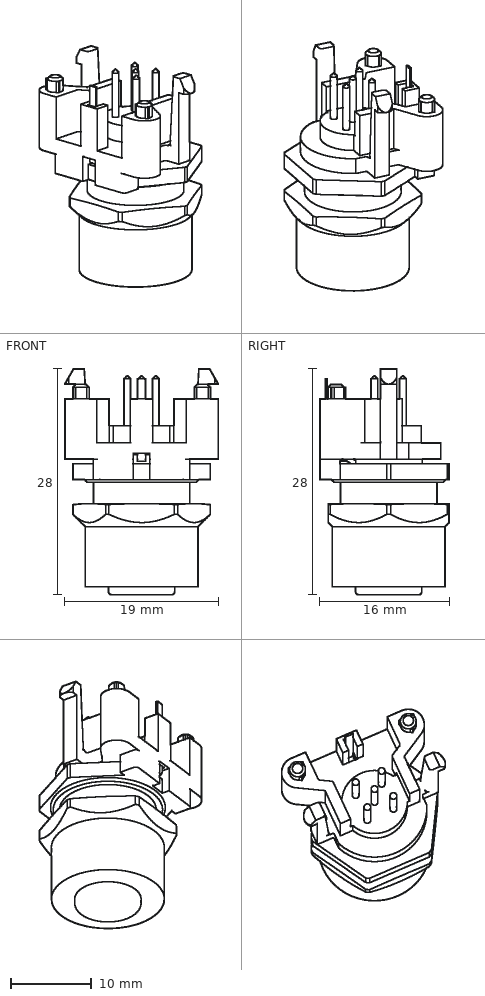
import cadquery as cq
import math

plug_top = 0.98
nut_bottom = 8.45
nut_top = 11.3
flange_underside = 13.95
flange_bottom = 14.28
flange_top = 16.27
housing_bottom = 16.8
floor_top = 18.82
boss_top = 20.97
wall_top = 24.28
total_height = 28.0

total_width = 19.0
total_depth = 16.0

plug_radius = 4.12
plug_edge_fillet = 0.42
sleeve_radius = 7.0
neck_radius = 6.0
seat_top_radius = 7.1
seat_bottom_radius = 6.78
hub_radius = 4.17

hex_across_flats = 14.98
hex_corner_radius = 8.5
nut_face_radius = 7.22
nut_face_bevel = 0.15

base_radius = 6.5
base_half_width = 6.0
boss_radius = 4.05
boss_fill_front = -2.1
wall_back = 1.68
front_face = hex_across_flats / 2 - total_depth
ear_radius = 2.0
ear_x = total_width / 2 - ear_radius
ear_y = front_face + ear_radius
wall_inner_x = 4.0
wall_outer_x = 5.38
wall_inner_bend_y = -3.67
pocket_half_width = 5.55
ear_slope = math.radians(30)
wall_bend_fillet = 0.28
boss_fill_fillet = 0.22
base_wall_fillet = 0.28
skirt_back = -6.02
skirt_half_width = 6.0
skirt_fillet = 0.5

pin_radius = 0.42
pin_pitch = 3.53
pin_shoulder = 26.75
pin_tip = 27.15

peg_radius = 0.98
peg_top = 26.07
peg_chamfer = 0.35
peg_rib_reach = 1.18
peg_rib_half_width = 0.25
peg_rib_angles = (93, 213, 333)

post_half_width = 1.37
post_back = -6.52
window_half_width = 1.05
window_top = 17.53
slot_half_width = 0.6
slot_front = -8.05
blade_half_width = 0.5
blade_front = -7.85
blade_thickness = 0.25
contact_leg_bottom = 16.55
contact_bend_radius = 0.48
contact_top = 26.75

tongue_front = -4.7
tongue_tip = -3.35
tongue_top_back = -4.37
tongue_front_top = 17.33

arm_half_width = 1.0
arm_outer_x = 8.2
arm_root_x = 6.4
arm_root_radius = 0.15
arm_inner_top_x = 7.08
arm_inner_fillet = 0.35
hook_top_x = 8.43
hook_tip_x = total_width / 2
hook_side_x = 9.05
hook_bottom = 26.1
arm_corner_fillet = 0.2


def cylinder(radius, bottom, top):
    return cq.Workplane("XY").workplane(offset=bottom).circle(radius).extrude(top - bottom)


def box(x_min, x_max, y_min, y_max, bottom, top):
    size = (x_max - x_min, y_max - y_min, top - bottom)
    return cq.Workplane("XY").box(*size, centered=False).translate((x_min, y_min, bottom))


def hexagon(bottom, top):
    corner_diameter = hex_across_flats / math.cos(math.pi / 6)
    prism = cq.Workplane("XY").workplane(offset=bottom).polygon(6, corner_diameter).extrude(top - bottom)
    return prism.intersect(cylinder(hex_corner_radius, bottom, top))


def revolve_profile(points):
    return cq.Workplane("XZ").polyline(points).close().revolve(360, (0, 0, 0), (0, 1, 0))


def both_sides(solid):
    return solid.union(solid.mirror("YZ"))


def make_metal_shell():
    plug = cylinder(plug_radius, 0, plug_top).faces("<Z").edges().fillet(plug_edge_fillet)
    sleeve = cylinder(sleeve_radius, plug_top, nut_bottom)

    corner_radius = hex_across_flats / math.sqrt(3)
    envelope = revolve_profile([
        (0, nut_bottom),
        (sleeve_radius, nut_bottom),
        (corner_radius, nut_bottom + corner_radius - sleeve_radius),
        (corner_radius, nut_top - nut_face_bevel),
        (nut_face_radius, nut_top),
        (0, nut_top),
    ])
    nut = hexagon(nut_bottom, nut_top).intersect(envelope)

    neck = cylinder(neck_radius, nut_top, flange_bottom)
    seat = revolve_profile([
        (0, flange_underside),
        (seat_bottom_radius, flange_underside),
        (seat_top_radius, flange_bottom),
        (0, flange_bottom),
    ])
    flange = hexagon(flange_bottom, flange_top)
    hub = cylinder(hub_radius, flange_top, housing_bottom)
    return plug.union(sleeve).union(nut).union(neck).union(seat).union(flange).union(hub)


def make_base():
    depth = 2 * base_radius
    band = box(-base_half_width, base_half_width, -depth, depth, housing_bottom, floor_top)
    disc = cylinder(base_radius, housing_bottom, floor_top).intersect(band)
    sides = box(-base_half_width, base_half_width, wall_inner_bend_y, 0, housing_bottom, floor_top)
    boss = cylinder(boss_radius, floor_top, boss_top)
    boss_fill = box(-wall_inner_x, wall_inner_x, boss_fill_front, wall_back, floor_top, boss_top)
    front_floor = box(-pocket_half_width, pocket_half_width, front_face, wall_inner_bend_y,
                      housing_bottom, floor_top)
    skirt = box(-skirt_half_width, skirt_half_width, front_face, skirt_back, flange_bottom, housing_bottom)
    skirt = skirt.edges("|Z and <Y").fillet(skirt_fillet)
    return disc.union(sides).union(boss).union(boss_fill).union(front_floor).union(skirt)


def wall_outer_y(x):
    """Y of the sloping outer face of the side wall, tangent to the ear."""
    tangent_x = ear_x + ear_radius * math.sin(ear_slope)
    tangent_y = ear_y + ear_radius * math.cos(ear_slope)
    return tangent_y + (tangent_x - x) * math.tan(ear_slope)


def make_wall():
    """Side wall that slopes out into the round ear at the front."""
    tangent_x = ear_x + ear_radius * math.sin(ear_slope)
    inner_front_y = wall_inner_bend_y - (pocket_half_width - wall_inner_x) * math.tan(ear_slope)
    wall = (
        cq.Workplane("XY").workplane(offset=housing_bottom)
        .moveTo(wall_inner_x, wall_back)
        .lineTo(wall_outer_x, wall_back)
        .lineTo(wall_outer_x, wall_outer_y(wall_outer_x))
        .lineTo(tangent_x, wall_outer_y(tangent_x))
        .threePointArc((ear_x + ear_radius, ear_y), (ear_x, front_face))
        .lineTo(pocket_half_width, front_face)
        .lineTo(pocket_half_width, inner_front_y)
        .lineTo(wall_inner_x, wall_inner_bend_y)
        .close()
        .extrude(wall_top - housing_bottom)
    )
    middle = (housing_bottom + wall_top) / 2
    for bend in [(wall_inner_x, wall_inner_bend_y, middle), (pocket_half_width, inner_front_y, middle)]:
        wall = wall.edges(cq.selectors.NearestToPointSelector(bend)).fillet(wall_bend_fillet)
    return wall


def make_snap_arm():
    root_top = floor_top + arm_root_radius
    inner_root_x = arm_root_x + arm_root_radius
    bend = arm_root_radius * math.sqrt(0.5)
    arm = (
        cq.Workplane("XZ")
        .moveTo(inner_root_x, housing_bottom)
        .lineTo(arm_outer_x, housing_bottom)
        .lineTo(arm_outer_x, hook_bottom)
        .lineTo(hook_tip_x, hook_bottom)
        .lineTo(hook_top_x, total_height)
        .lineTo(arm_inner_top_x, total_height)
        .lineTo(inner_root_x, root_top)
        .close()
        .extrude(arm_half_width, both=True)
    )
    margin = arm_root_radius
    inner_side = cq.selectors.BoxSelector(
        (inner_root_x - margin, -arm_half_width - margin, root_top),
        (arm_inner_top_x, arm_half_width + margin, total_height - margin),
    )
    arm = arm.edges(inner_side).fillet(arm_inner_fillet)

    arc_envelope = (
        cq.Workplane("XY").workplane(offset=housing_bottom)
        .moveTo(arm_root_x, -arm_half_width)
        .lineTo(hook_side_x, -arm_half_width)
        .threePointArc((hook_tip_x, 0), (hook_side_x, arm_half_width))
        .lineTo(arm_root_x, arm_half_width)
        .close()
        .extrude(total_height - housing_bottom)
    )
    arm = arm.intersect(arc_envelope)

    root = (
        cq.Workplane("XZ")
        .moveTo(wall_outer_x, housing_bottom)
        .lineTo(arm_inner_top_x, housing_bottom)
        .lineTo(arm_inner_top_x, root_top)
        .lineTo(inner_root_x, root_top)
        .threePointArc((arm_root_x + bend, root_top - bend), (arm_root_x, floor_top))
        .lineTo(wall_outer_x, floor_top)
        .close()
        .extrude(arm_half_width, both=True)
    )
    return arm.union(root)


def make_peg():
    peg = cylinder(peg_radius, wall_top, peg_top).faces(">Z").edges().chamfer(peg_chamfer)
    rib_top = peg_top - peg_chamfer
    rib = (
        cq.Workplane("XY").workplane(offset=wall_top)
        .moveTo(0, -peg_rib_half_width)
        .lineTo(peg_radius, -peg_rib_half_width)
        .lineTo(peg_rib_reach, 0)
        .lineTo(peg_radius, peg_rib_half_width)
        .lineTo(0, peg_rib_half_width)
        .close()
        .extrude(rib_top - wall_top)
    )
    for angle in peg_rib_angles:
        peg = peg.union(rib.rotate((0, 0, 0), (0, 0, 1), angle))
    return peg


def make_pin():
    return revolve_profile([
        (0, floor_top),
        (pin_radius, floor_top),
        (pin_radius, pin_shoulder),
        (0, pin_tip),
    ])


def make_tongue():
    """Wedge sloping from the back of the window down onto the flange."""
    return (
        cq.Workplane("YZ")
        .polyline([
            (tongue_front, flange_top),
            (tongue_tip, flange_top),
            (tongue_top_back, housing_bottom),
            (tongue_top_back, tongue_front_top),
            (post_back, tongue_front_top),
        ])
        .close()
        .extrude(window_half_width, both=True)
    )


def make_contact():
    """Blade standing in the post slot, bent at the bottom into a leg that ends in the tongue."""
    blade_back = blade_front + blade_thickness
    leg_top = contact_leg_bottom + blade_thickness
    bend_center_y = blade_front + contact_bend_radius
    bend_center_z = contact_leg_bottom + contact_bend_radius
    bend_offset = contact_bend_radius * math.sqrt(0.5)
    return (
        cq.Workplane("YZ")
        .moveTo(blade_front, contact_top)
        .lineTo(blade_front, bend_center_z)
        .threePointArc(
            (bend_center_y - bend_offset, bend_center_z - bend_offset),
            (bend_center_y, contact_leg_bottom),
        )
        .lineTo(tongue_front, contact_leg_bottom)
        .lineTo(tongue_front, leg_top)
        .lineTo(blade_back, leg_top)
        .lineTo(blade_back, contact_top)
        .close()
        .extrude(blade_half_width, both=True)
    )


housing = make_base().union(both_sides(make_wall()))
housing = housing.union(both_sides(make_snap_arm()))
housing = housing.union(
    box(-post_half_width, post_half_width, front_face, post_back, floor_top, wall_top)
)
housing = housing.cut(
    box(-window_half_width, window_half_width, front_face, post_back, flange_bottom, window_top)
)
housing = housing.cut(
    box(-window_half_width, window_half_width, post_back, skirt_back, flange_bottom, housing_bottom)
)
housing = housing.cut(
    box(-window_half_width, window_half_width, post_back, tongue_top_back, housing_bottom, tongue_front_top)
)
housing = housing.union(make_tongue())
housing = housing.cut(
    box(-slot_half_width, slot_half_width, slot_front, post_back, window_top, wall_top)
)

for side in (-1, 1):
    corner = (side * wall_inner_x, boss_fill_front, (floor_top + boss_top) / 2)
    housing = housing.edges(cq.selectors.NearestToPointSelector(corner)).fillet(boss_fill_fillet)

for side in (-1, 1):
    housing = housing.union(make_peg().translate((side * ear_x, ear_y, 0)))

result = make_metal_shell().union(housing).union(make_contact())

pin_places = cq.Workplane("XY").rect(pin_pitch, pin_pitch, forConstruction=True).vertices().vals()
for place in [cq.Vertex.makeVertex(0, 0, 0)] + pin_places:
    result = result.union(make_pin().translate(place.Center()))

base_middle = (housing_bottom + floor_top) / 2
for side in (-1, 1):
    corner_x = side * base_half_width
    blends = [
        (-arm_half_width, arm_corner_fillet),
        (arm_half_width, arm_corner_fillet),
        (wall_outer_y(base_half_width), base_wall_fillet),
    ]
    for corner_y, radius in blends:
        corner = (corner_x, corner_y, base_middle)
        result = result.edges(cq.selectors.NearestToPointSelector(corner)).fillet(radius)